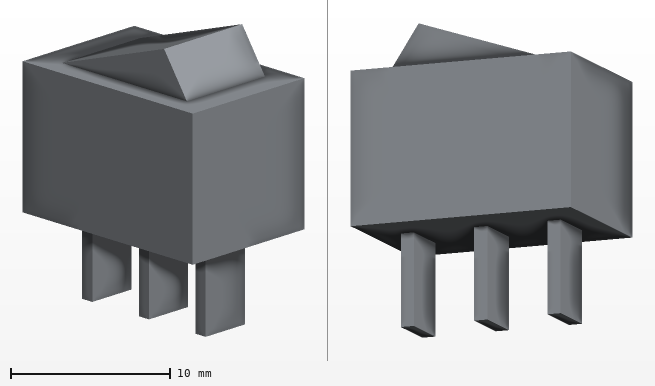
import cadquery as cq

total_height = 19.0
body_length = 15.0
body_width = 10.0

rocker_height = 3.0
rocker_length = 11.0
rocker_width = 7.0
rocker_peak_x = 3.5

pin_length = 6.0
pin_thickness = 0.9
pin_width = 3.5
pin_pitch = 5.0

body_height = total_height - rocker_height - pin_length


def make_body():
    """Plain housing with its underside at Z = 0."""
    return cq.Workplane("XY").box(body_length, body_width, body_height, centered=(True, True, False))


def make_rocker():
    """Wedge tilted up towards +X."""
    base_end = rocker_length / 2
    return (
        cq.Workplane("XZ", origin=(0, 0, body_height))
        .moveTo(-base_end, 0)
        .lineTo(base_end, 0)
        .lineTo(rocker_peak_x, rocker_height)
        .close()
        .extrude(rocker_width / 2, both=True)
    )


def make_pins():
    """Row of three flat terminals along X, hanging from the underside."""
    return (
        cq.Workplane("XY")
        .rarray(pin_pitch, 0.19, 3, 1)
        .rect(pin_thickness, pin_width)
        .extrude(-pin_length)
    )


result = make_body().union(make_rocker()).union(make_pins())